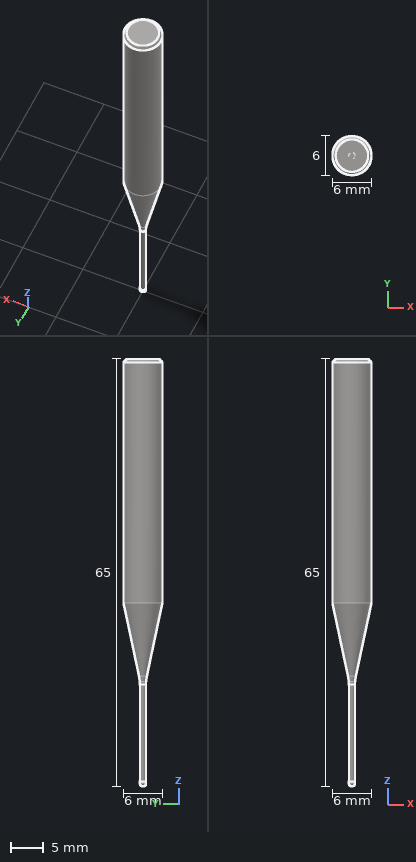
import cadquery as cq

total_length = 65.0
shank_radius = 3.0
shank_chamfer = 0.5

ball_radius = 0.5
tip_length = 0.8

neck_radius = 0.475
neck_top = 15.55
collar_radius = 0.5
collar_top = 16.0
cone_bottom_radius = 0.62
cone_bottom = 16.8
shank_bottom = 27.9


def make_tip():
    """Cutting tip: a hemisphere with a short cylinder above it."""
    arc_step = ball_radius * 0.5 ** 0.5
    return (
        cq.Workplane("XZ")
        .moveTo(0, 0)
        .threePointArc((arc_step, ball_radius - arc_step), (ball_radius, ball_radius))
        .lineTo(ball_radius, tip_length)
        .lineTo(0, tip_length)
        .close()
        .revolve(360, (0, 0), (0, 1))
    )


def make_shank():
    """Holder: neck, small collar, short flare, long cone and chamfered shank in one turned solid."""
    outline = [
        (0, tip_length),
        (neck_radius, tip_length),
        (neck_radius, neck_top),
        (collar_radius, neck_top),
        (collar_radius, collar_top),
        (cone_bottom_radius, cone_bottom),
        (shank_radius, shank_bottom),
        (shank_radius, total_length - shank_chamfer),
        (shank_radius - shank_chamfer, total_length),
        (0, total_length),
    ]
    return cq.Workplane("XZ").polyline(outline).close().revolve(360, (0, 0), (0, 1))


tip = make_tip()
shank = make_shank()
result = cq.Compound.makeCompound([tip.val(), shank.val()])